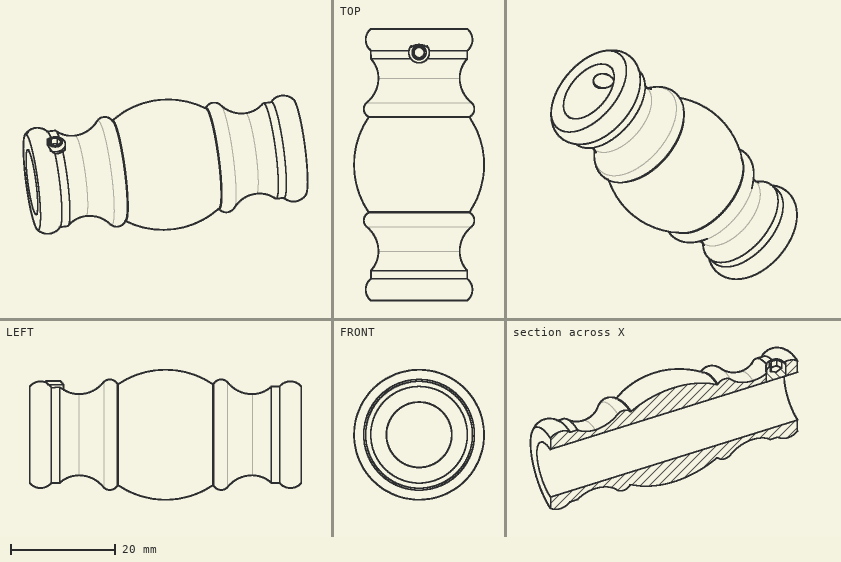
import cadquery as cq
import math

LENGTH = 52.0
HALF_LENGTH = LENGTH / 2
BORE_RADIUS = 6.25

BELLY_RADIUS = 12.5
BELLY_EDGE_RADIUS = 9.7
BELLY_EDGE_Y = 9.05

GROOVE_LENGTH = 0.15
BEAD_INNER_Y = BELLY_EDGE_Y + GROOVE_LENGTH
BEAD_RADIUS = 10.6
BEAD_CREST_Y = 10.55
BEAD_OUTER_RADIUS = 10.1
BEAD_OUTER_Y = 11.85

WAIST_RADIUS = 7.8
WAIST_Y = 16.6

COLLAR_RADIUS = 9.25
COLLAR_LENGTH = 1.55
LIP_RADIUS = 10.25
LIP_LENGTH = 4.15
LIP_INNER_Y = HALF_LENGTH - LIP_LENGTH
LIP_CREST_Y = HALF_LENGTH - LIP_LENGTH / 2
COLLAR_INNER_Y = LIP_INNER_Y - COLLAR_LENGTH

SCREW_Y = HALF_LENGTH - 4.5
SCREW_RADIUS = 2.0
SCREW_TOP_RADIUS = 1.35
SCREW_TOP_Z = 10.3
SCREW_BEVEL_HEIGHT = 0.7
SCREW_BOTTOM_Z = BORE_RADIUS
SOCKET_SIDES = 6
SOCKET_ACROSS_FLATS = 2.0
SOCKET_DEPTH = 1.55
SOCKET_TIP_ANGLE = 118.0


def tangent_arc_middle(crest, end):
    """Middle of the arc that runs along Y at crest and ends at end; points are (y, radius)."""
    run = end[0] - crest[0]
    rise = end[1] - crest[1]
    arc_radius = (run**2 + rise**2) / (2 * rise)
    half_angle = math.asin(run / arc_radius) / 2
    return (
        crest[0] + arc_radius * math.sin(half_angle),
        crest[1] + arc_radius * (1 - math.cos(half_angle)),
    )


def mirrored(point):
    """The same profile point on the -Y half."""
    return (-point[0], point[1])


def make_body():
    """The turned body with its through bore and the hole for the set screw."""
    belly_edge = (BELLY_EDGE_Y, BELLY_EDGE_RADIUS)
    groove_end = (BEAD_INNER_Y, BELLY_EDGE_RADIUS)
    bead_crest = (BEAD_CREST_Y, BEAD_RADIUS)
    bead_end = (BEAD_OUTER_Y, BEAD_OUTER_RADIUS)
    waist = (WAIST_Y, WAIST_RADIUS)
    collar_start = (COLLAR_INNER_Y, COLLAR_RADIUS)
    collar_end = (LIP_INNER_Y, COLLAR_RADIUS)
    lip_crest = (LIP_CREST_Y, LIP_RADIUS)
    lip_end = (HALF_LENGTH, COLLAR_RADIUS)
    bore_end = (HALF_LENGTH, BORE_RADIUS)
    inner_waist_middle = tangent_arc_middle(waist, bead_end)
    outer_waist_middle = tangent_arc_middle(waist, collar_start)

    profile = (
        cq.Workplane("YZ")
        .moveTo(*mirrored(bore_end))
        .lineTo(*mirrored(lip_end))
        .threePointArc(mirrored(lip_crest), mirrored(collar_end))
        .lineTo(*mirrored(collar_start))
        .threePointArc(mirrored(outer_waist_middle), mirrored(waist))
        .threePointArc(mirrored(inner_waist_middle), mirrored(bead_end))
        .threePointArc(mirrored(bead_crest), mirrored(groove_end))
        .lineTo(*mirrored(belly_edge))
        .threePointArc((0, BELLY_RADIUS), belly_edge)
        .lineTo(*groove_end)
        .threePointArc(bead_crest, bead_end)
        .threePointArc(inner_waist_middle, waist)
        .threePointArc(outer_waist_middle, collar_start)
        .lineTo(*collar_end)
        .threePointArc(lip_crest, lip_end)
        .lineTo(*bore_end)
        .close()
    )
    turned = profile.revolve(360, (0, 0, 0), (1, 0, 0))
    return turned.cut(make_screw_envelope(0))


def make_screw_envelope(bottom_z):
    """The screw's outer shape, without its socket, from bottom_z up to its bevelled top."""
    return (
        cq.Workplane("XY", origin=(0, SCREW_Y, bottom_z))
        .circle(SCREW_RADIUS)
        .extrude(SCREW_TOP_Z - bottom_z)
        .faces(">Z")
        .chamfer(SCREW_BEVEL_HEIGHT, SCREW_RADIUS - SCREW_TOP_RADIUS)
    )


def make_socket():
    """Hexagon socket with corners towards +Y and -Y and a drill-point floor."""
    floor_z = SCREW_TOP_Z - SOCKET_DEPTH
    hexagon = (
        cq.Workplane("XY", origin=(0, SCREW_Y, floor_z))
        .polygon(SOCKET_SIDES, SOCKET_ACROSS_FLATS, circumscribed=True)
        .extrude(SOCKET_DEPTH)
    )
    tip_radius = SOCKET_ACROSS_FLATS / 2
    tip_depth = tip_radius / math.tan(math.radians(SOCKET_TIP_ANGLE / 2))
    tip = cq.Solid.makeCone(tip_radius, 0, tip_depth, cq.Vector(0, SCREW_Y, floor_z), cq.Vector(0, 0, -1))
    return hexagon.union(cq.Workplane(tip))


def make_screw():
    return make_screw_envelope(SCREW_BOTTOM_Z).cut(make_socket())


body = make_body()
set_screw = make_screw()
result = cq.Compound.makeCompound([body.val(), set_screw.val()])